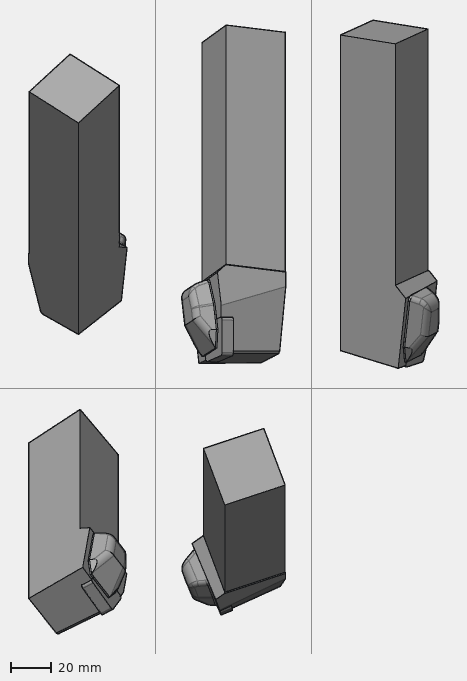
import cadquery as cq
import math

shank_side = 32.0
shank_top = 171.4

head_top = 46.1
head_step = 0.5
step_height = 0.5
head_depth = 42.8
lead_angle = 14.2
end_angle = 4.8
side_flank_top = 38.0
side_flank_drop = 0.4
end_flank_z = 7.5
end_flank_drop = 0.13
nose_bevel = 1.2

rake_height = 32.0
rake_slope_x = 0.038
rake_slope_z = 0.12

insert_edge = 19.4
insert_thickness = 6.3
insert_acute_angle = 80.0
insert_corner_radius = 1.5
insert_nose_x = 5.1
insert_nose_up = -0.1
insert_turn = 5.2

clamp_height = 10.0
clamp_foot = 0.9
clamp_draft = 25.0
clamp_left = 6.3
clamp_right = 29.1
clamp_end = 41.0
clamp_end_draft = 14.6
clamp_flare_start = 26.7
clamp_flare = 0.22
clamp_taper_start = 13.7
clamp_tip = 5.0
clamp_tip_inset = 3.5
clamp_slope_start = 20.2
clamp_rim_round = 4.5
clamp_end_round = 6.9
clamp_corner_round = 2.5

rake_plane = cq.Plane(
    origin=(0, rake_height, 0),
    xDir=(1, rake_slope_x, 0),
    normal=(-rake_slope_x, 1, -rake_slope_z),
)
profile_plane = cq.Plane(
    origin=rake_plane.origin.toTuple(),
    xDir=(-rake_plane.yDir).toTuple(),
    normal=(-rake_plane.xDir).toTuple(),
)
tiny = 0.03
least_corner_rise = 0.3


def on_rake(across, up):
    """Rake plane coordinates of a point; the plane's own Y axis points towards -Z."""
    return (across, -up)


def head_outline(depth):
    """Corner points of the head in X and Z at a distance from the -Y face."""
    lead_turn = math.radians(lead_angle)
    end_turn = math.radians(end_angle)
    lead = math.tan(lead_turn)
    fall = math.tan(end_turn)
    flank_top = side_flank_top - side_flank_drop * depth
    flank_end = end_flank_z - end_flank_drop * depth
    corner_z = (flank_end - fall * (shank_side + head_step - lead * flank_top)) / (1 + fall * lead)
    corner_x = -head_step + lead * (flank_top - corner_z)
    return [
        (shank_side, head_top),
        (0, head_top),
        (-head_step, head_top - step_height),
        (-head_step, flank_top),
        (corner_x - nose_bevel * math.sin(lead_turn), corner_z + nose_bevel * math.cos(lead_turn)),
        (corner_x + nose_bevel * math.cos(end_turn), corner_z + nose_bevel * math.sin(end_turn)),
        (shank_side, flank_end),
    ]


def make_head():
    front = cq.Workplane("XZ").polyline(head_outline(0)).close()
    back = front.workplane(offset=-head_depth).polyline(head_outline(head_depth)).close()
    flanks = back.loft(ruled=True)
    above_rake = cq.Workplane(rake_plane).rect(2 * shank_top, 2 * shank_top).extrude(head_depth)
    shoulder = (
        cq.Workplane("YZ", origin=(-head_step, 0, 0))
        .moveTo(shank_side, head_top)
        .lineTo(shank_side + head_depth, head_top)
        .lineTo(shank_side + head_depth, head_top - head_depth)
        .close()
        .extrude(shank_side + head_step)
    )
    return flanks.cut(above_rake).cut(shoulder)


def make_clamp_plan():
    """Foot and drafted sides of the clamp, run out past its end."""
    reach = clamp_end + clamp_height
    points = [
        on_rake(clamp_right - clamp_tip_inset, clamp_tip),
        on_rake(clamp_right, clamp_taper_start),
        on_rake(clamp_right, reach),
        on_rake(clamp_left + clamp_flare * (reach - clamp_flare_start), reach),
        on_rake(clamp_left, clamp_flare_start),
        on_rake(clamp_left, clamp_taper_start),
        on_rake(clamp_left + clamp_tip_inset, clamp_tip),
    ]
    foot = cq.Workplane(rake_plane).polyline(points).close().extrude(clamp_foot)
    drafted = (
        cq.Workplane(rake_plane)
        .workplane(offset=clamp_foot)
        .polyline(points)
        .close()
        .extrude(clamp_height, taper=clamp_draft)
    )
    return foot.union(drafted)


def make_clamp():
    slope_cut = (
        cq.Workplane(profile_plane)
        .moveTo(clamp_tip, 0)
        .lineTo(2 * clamp_end, 0)
        .lineTo(2 * clamp_end, clamp_height)
        .lineTo(clamp_slope_start, clamp_height)
        .lineTo(clamp_tip, clamp_foot)
        .close()
        .extrude(-2 * clamp_right)
    )
    block = make_clamp_plan().intersect(slope_cut)

    def is_rim(edge):
        middle = profile_plane.toLocalCoords(edge.Center())
        beside_slope = clamp_taper_start < middle.x < clamp_slope_start - tiny
        beside_top = clamp_slope_start + tiny < middle.x < clamp_end + tiny
        return middle.y > clamp_height / 2 and (beside_slope or beside_top)

    rims = [edge for edge in block.edges().vals() if is_rim(edge)]
    block = block.newObject(rims).fillet(clamp_rim_round)

    end_top = clamp_end - clamp_height * math.tan(math.radians(clamp_end_draft))
    end_top_middle = profile_plane.toWorldCoords((end_top, clamp_height, -clamp_right))
    end_wedge = (
        cq.Workplane(profile_plane)
        .lineTo(clamp_end, 0)
        .lineTo(end_top, clamp_height)
        .lineTo(0, clamp_height)
        .close()
        .extrude(-2 * clamp_right)
        .edges(cq.selectors.NearestToPointSelector(end_top_middle.toTuple()))
        .fillet(clamp_end_round)
    )
    block = block.intersect(end_wedge)

    def is_end_corner(edge):
        middle = profile_plane.toLocalCoords(edge.Center())
        rise = abs(edge.tangentAt(0.5).dot(rake_plane.zDir))
        return middle.x > end_top - clamp_end_round and rise > least_corner_rise

    end_corners = [edge for edge in block.edges().vals() if is_end_corner(edge)]
    return block.newObject(end_corners).fillet(clamp_corner_round)


def make_insert():
    turn = math.radians(insert_turn)
    lean = turn + math.radians(180 - insert_acute_angle)
    end_across = insert_edge * math.cos(turn)
    end_up = insert_edge * math.sin(turn)
    side_across = insert_edge * math.cos(lean)
    side_up = insert_edge * math.sin(lean)
    points = [
        on_rake(insert_nose_x, insert_nose_up),
        on_rake(insert_nose_x + end_across, insert_nose_up + end_up),
        on_rake(insert_nose_x + end_across + side_across, insert_nose_up + end_up + side_up),
        on_rake(insert_nose_x + side_across, insert_nose_up + side_up),
    ]
    plate = cq.Workplane(rake_plane).polyline(points).close().extrude(-insert_thickness)
    return plate.edges(cq.selectors.ParallelDirSelector(rake_plane.zDir)).fillet(insert_corner_radius)


def make_holder(insert):
    """Shank, head and clamp in one piece, with a pocket that fits the insert."""
    shank = (
        cq.Workplane("XY", origin=(0, 0, head_top))
        .rect(shank_side, shank_side, centered=False)
        .extrude(shank_top - head_top)
    )
    return shank.union(make_head()).union(make_clamp()).cut(insert)


insert = make_insert()
holder = make_holder(insert)

result = cq.Compound.makeCompound([holder.solids().val(), insert.solids().val()])